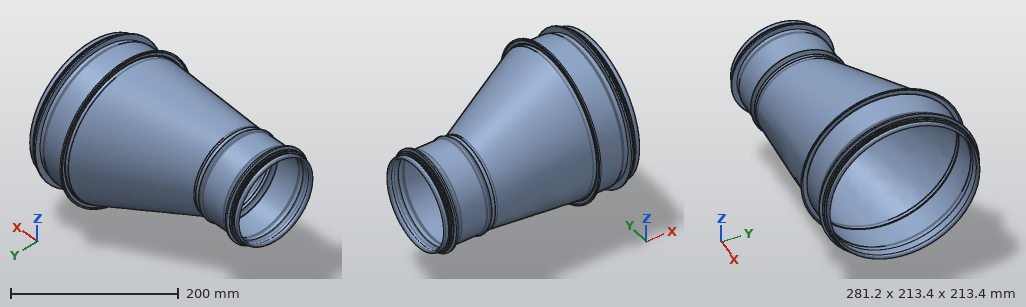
import cadquery as cq
import math

total_length = 281.2
cone_sheet = 0.6
small_sheet = 0.6
large_sheet = 0.5

small_outer = 124.05
large_outer = 198.95
small_groove = 120.45
large_groove = 194.15
small_hem_bore = 117.85

hem_end = 6.2
hem_bore_end = 9.5
hem_taper_end = 14.0
step_start = 22.0
step_end = 24.8
step_bend = 1.2
mouth_round = 1.4

seal_base_drop = 1.0
lip_start_rise = 3.0
lip_peak_rise = 5.4
fin_rise = 10.4
lip_start = 7.8
lip_step_end = 9.4
lip_peak_start = 10.4
lip_peak_end = 11.4
lip_end = 11.9
fin_start = 13.8
fin_end = 16.1

bead_start = 61.0
bead_crown_start = 62.2
bead_crown_end = 65.2
bead_end = 67.4
bead_height = 1.9
bead_foot_bend = 0.8
bead_crown_bend = 2.6

small_collar_start = 68.5
small_duct_end = 73.2
cone_start = 76.7
cone_end = 214.0
ring_start = 218.0
ring_end = 220.3
ring_outer = 213.45
flange_outer = 209.4
ring_front_bore = large_outer + 3.0
ring_rim_setback = 0.3

cone_small_outer = small_outer - 2 * small_sheet
cone_large_outer = large_outer
offset_y = -(cone_large_outer - cone_small_outer) / 2
flange_start = ring_start + cone_sheet
large_duct_start = flange_start + cone_sheet


def rounded_outline(corners):
    """Close an outline of (x, radius, bend) corners; a bend above zero rounds its corner."""
    pieces = []
    count = len(corners)
    for i, (x, r, bend) in enumerate(corners):
        if bend == 0:
            pieces.append(((x, r), None))
            continue
        before = corners[i - 1]
        after = corners[(i + 1) % count]
        angle_in = math.atan2(r - before[1], x - before[0])
        angle_out = math.atan2(after[1] - r, after[0] - x)
        turn = math.remainder(angle_out - angle_in, 2 * math.pi)
        reach = bend * math.tan(abs(turn) / 2)
        start = (x - reach * math.cos(angle_in), r - reach * math.sin(angle_in))
        end = (x + reach * math.cos(angle_out), r + reach * math.sin(angle_out))
        pieces.append((start, end))
    first_start, first_end = pieces[0]
    outline = cq.Workplane("XY").moveTo(*(first_end or first_start))
    for start, end in pieces[1:]:
        outline = outline.lineTo(*start)
        if end:
            outline = outline.tangentArcPoint(end, relative=False)
    if first_end:
        outline = outline.lineTo(*first_start).tangentArcPoint(first_end, relative=False)
    return outline.close()


def turned(corners):
    """Revolve an outline of (x, radius, bend) corners about the X axis."""
    return rounded_outline(corners).revolve(360, (0, 0, 0), (1, 0, 0))


def spigot(outer, groove, sheet, length, hem_bore=None, beaded=False):
    """Sheet duct with its mouth at x = 0: mouth rim, seal groove, step and plain duct.

    A hem bore thickens the mouth inward; otherwise the groove's bore runs out to the mouth.
    """
    r_out = outer / 2
    r_in = r_out - sheet
    r_groove = groove / 2
    r_groove_in = r_groove - sheet
    outside = [
        (0, r_out, mouth_round),
        (hem_end, r_out, 0),
        (hem_end, r_groove, 0),
        (step_start, r_groove, step_bend),
        (step_end, r_out, step_bend),
    ]
    inside = [
        (step_end, r_in, step_bend),
        (step_start, r_groove_in, step_bend),
    ]
    if hem_bore:
        r_hem = hem_bore / 2
        inside += [
            (hem_taper_end, r_groove_in, 0),
            (hem_bore_end, r_hem, 0),
            (0, r_hem, mouth_round),
        ]
    else:
        inside.append((0, r_groove_in, mouth_round))
    bead_outside = bead_corners(r_out) if beaded else []
    bead_inside = bead_corners(r_in)[::-1] if beaded else []
    duct_end = [(length, r_out, 0), (length, r_in, 0)]
    return turned(outside + bead_outside + duct_end + bead_inside + inside)


def bead_corners(base):
    """Corners of the stop bead raised from a duct surface of the given radius."""
    return [
        (bead_start, base, bead_foot_bend),
        (bead_crown_start, base + bead_height, bead_crown_bend),
        (bead_crown_end, base + bead_height, bead_crown_bend),
        (bead_end, base, bead_foot_bend),
    ]


def seal(outer, groove):
    """Rubber seal seated in the groove against the hem, with the mouth at x = 0."""
    r_base = (outer - seal_base_drop) / 2
    r_lip_start = (outer + lip_start_rise) / 2
    r_lip_peak = (outer + lip_peak_rise) / 2
    r_fin = (outer + fin_rise) / 2
    outline = [
        (hem_end, groove / 2),
        (hem_end, r_base),
        (lip_start, r_base),
        (lip_start, r_lip_start),
        (lip_step_end, r_lip_start),
        (lip_peak_start, r_lip_peak),
        (lip_peak_end, r_lip_peak),
        (lip_end, r_base),
        (fin_start, r_base),
        (fin_start, r_fin),
        (fin_end, r_fin),
        (fin_end, groove / 2),
    ]
    return cq.Workplane("XY").polyline(outline).close().revolve(360, (0, 0, 0), (1, 0, 0))


def disc(start, end, diameter):
    """Solid disc on the large axis between two stations along X."""
    return cq.Workplane("YZ", origin=(start, 0, 0)).circle(diameter / 2).extrude(end - start)


def cone_form(inset):
    """Solid form of the cone and its two collars, its diameters reduced by twice the inset."""
    r_small = cone_small_outer / 2 - inset
    r_large = cone_large_outer / 2 - inset
    small_collar = (
        cq.Workplane("YZ", origin=(small_collar_start, offset_y, 0))
        .circle(r_small)
        .extrude(cone_start - small_collar_start)
    )
    flare = (
        cq.Workplane("YZ", origin=(cone_start, 0, 0))
        .center(offset_y, 0)
        .circle(r_small)
        .workplane(offset=cone_end - cone_start)
        .center(-offset_y, 0)
        .circle(r_large)
        .loft(ruled=True)
    )
    large_collar = disc(cone_end, large_duct_start, 2 * r_large)
    return small_collar.union(flare).union(large_collar)


def at_small_end(body):
    return body.translate((0, offset_y, 0))


def at_large_end(body):
    return body.mirror("YZ").translate((total_length, 0, 0))


small_spigot = at_small_end(
    spigot(small_outer, small_groove, small_sheet, small_duct_end, small_hem_bore, beaded=True)
)
small_seal = at_small_end(seal(small_outer, small_groove))

large_duct_length = total_length - large_duct_start
large_spigot = at_large_end(spigot(large_outer, large_groove, large_sheet, large_duct_length))
large_seal = at_large_end(seal(large_outer, large_groove))

cone_flange = disc(flange_start, large_duct_start, flange_outer)
cone = cone_form(0).union(cone_flange).cut(cone_form(cone_sheet))

clamp_ring = (
    disc(ring_start, ring_end, flange_outer)
    .union(disc(ring_start + ring_rim_setback, ring_end, ring_outer))
    .cut(disc(ring_start, flange_start, ring_front_bore))
    .cut(disc(flange_start, large_duct_start, flange_outer))
    .cut(disc(large_duct_start, ring_end, large_outer))
)

result = cq.Compound.makeCompound([
    small_spigot.val(),
    small_seal.val(),
    cone.val(),
    clamp_ring.val(),
    large_spigot.val(),
    large_seal.val(),
])